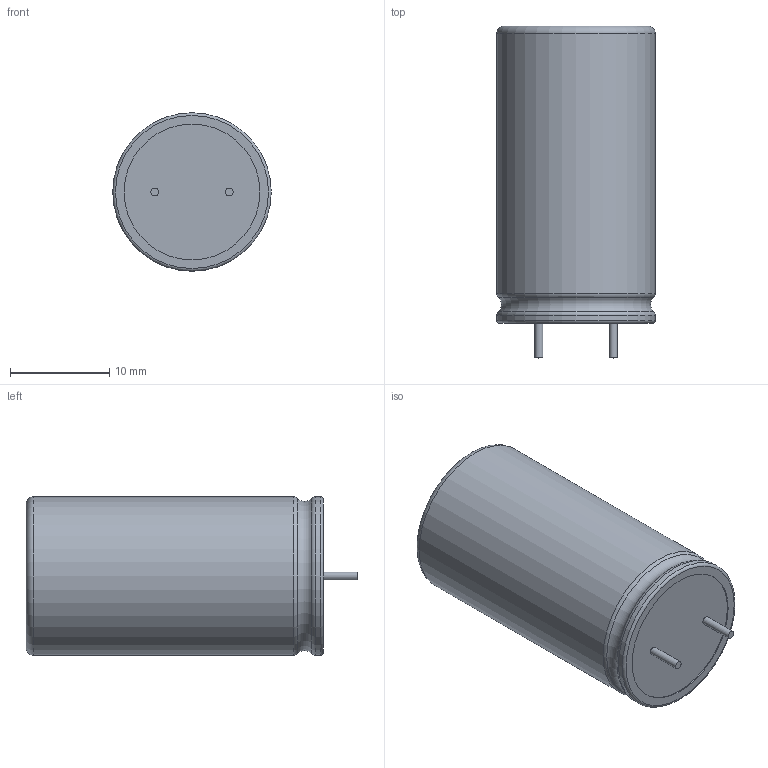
import cadquery as cq
import math

can_diameter = 16.0
can_length = 30.0
closed_end_fillet = 0.75
lead_end_fillet = 0.28

groove_center_y = 1.9
groove_half_width = 1.1
groove_radius = 1.0
groove_edge_radius = 0.5

recess_diameter = 13.71
recess_depth = 0.1

lead_diameter = 0.8
lead_pitch = 7.5
lead_length = 3.5

can_radius = can_diameter / 2


def groove_ring():
    """Ring of material removed by the crimp groove, revolved about the Y axis."""
    center_distance = groove_radius + groove_edge_radius
    tangent_angle = math.asin(groove_half_width / center_distance)
    half_angle = tangent_angle / 2
    edge_center_x = can_radius - groove_edge_radius
    groove_center_x = edge_center_x + center_distance * math.cos(tangent_angle)

    def edge_point(side, angle):
        x = edge_center_x + groove_edge_radius * math.cos(angle)
        y = groove_center_y + side * (groove_half_width - groove_edge_radius * math.sin(angle))
        return (x, y)

    profile = (
        cq.Workplane("XY")
        .moveTo(*edge_point(-1, 0))
        .threePointArc(edge_point(-1, half_angle), edge_point(-1, tangent_angle))
        .threePointArc((groove_center_x - groove_radius, groove_center_y), edge_point(1, tangent_angle))
        .threePointArc(edge_point(1, half_angle), edge_point(1, 0))
        .close()
    )
    return profile.revolve(360, (0, 0, 0), (0, 1, 0))


def can():
    """Rounded cylinder with the crimp groove and the recessed lead end."""
    body = cq.Workplane("XZ").circle(can_radius).extrude(-can_length)
    body = body.faces(">Y").edges().fillet(closed_end_fillet)
    body = body.faces("<Y").edges().fillet(lead_end_fillet)
    recess = cq.Workplane("XZ").circle(recess_diameter / 2).extrude(-recess_depth)
    return body.cut(groove_ring()).cut(recess)


def leads():
    """Two round leads standing on the recess floor."""
    floor = cq.Workplane("XZ", origin=(0, recess_depth, 0))
    positions = [(-lead_pitch / 2, 0), (lead_pitch / 2, 0)]
    return floor.pushPoints(positions).circle(lead_diameter / 2).extrude(lead_length + recess_depth)


result = can().union(leads())